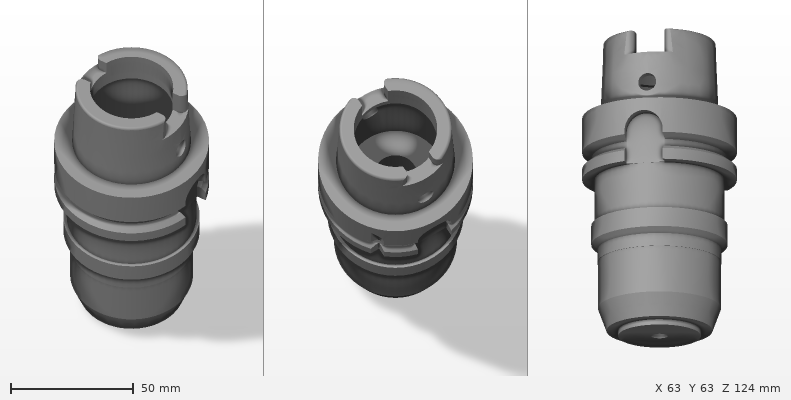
import cadquery as cq
import math

total_height = 124.0
flange_top = 92.0
flange_bottom = 66.0
collar_top = 46.6
collar_chamfer_top = 38.6
collar_bottom = 36.3
neck_bottom = 31.0
nose_cone_top = 11.7
nose_cone_bottom = 2.2

flange_radius = 31.5
body_radius = 26.4
collar_radius = 27.8
neck_radius = 25.3
nose_radius = 25.0
nose_tip_radius = 21.6
spigot_radius = 16.9

shank_base_radius = 24.2
shank_top_radius = 22.8
shank_edge_round = 1.1

groove_rim_top = 77.4
groove_floor_top = 75.5
groove_ledge = 72.2
groove_rim_bottom = 70.5
groove_floor_radius = 27.5
groove_ledge_radius = 29.4

mouth_radius = 17.0
mouth_depth = 13.0
cavity_radius = 19.8
cavity_floor = 76.9
socket_radius = 8.9
socket_depth = 12.4
coolant_radius = 3.3

drive_half_width = 6.2
drive_flat = 21.0
drive_corner_radius = 2.5
drive_depth_left = 6.0
drive_depth_right = 10.2

cross_hole_radius = 3.7
cross_hole_height = 100.9

keyway_half_width = 7.9
keyway_top = 86.8
keyway_floor = body_radius
notch_offset = 20.2
notch_arch_radius = 7.5
notch_arch_center = 80.2


def disc(radius, bottom, top):
    return cq.Workplane("XY").workplane(offset=bottom).circle(radius).extrude(top - bottom)


def turned_body():
    """Outside shape of the holder, revolved about Z."""
    outline = [
        (0, 0),
        (spigot_radius, 0),
        (spigot_radius, nose_cone_bottom),
        (nose_tip_radius, nose_cone_bottom),
        (nose_radius, nose_cone_top),
        (nose_radius, neck_bottom),
        (neck_radius, neck_bottom),
        (neck_radius, collar_bottom),
        (collar_radius, collar_chamfer_top),
        (collar_radius, collar_top),
        (body_radius, collar_top),
        (body_radius, flange_bottom),
        (flange_radius, flange_bottom),
        (flange_radius, groove_rim_bottom),
        (groove_ledge_radius, groove_ledge),
        (groove_floor_radius, groove_ledge),
        (groove_floor_radius, groove_floor_top),
        (flange_radius, groove_rim_top),
        (flange_radius, flange_top),
        (shank_base_radius, flange_top),
        (shank_top_radius, total_height),
        (0, total_height),
    ]
    body = cq.Workplane("XZ").polyline(outline).close().revolve(360, (0, 0, 0), (0, 1, 0))
    return body.faces(">Z").edges().fillet(shank_edge_round)


def bores():
    """Stepped bore: mouth, wider cavity, socket and coolant hole."""
    mouth_bottom = total_height - mouth_depth
    return (
        disc(mouth_radius, mouth_bottom, total_height)
        .union(disc(cavity_radius, cavity_floor, mouth_bottom))
        .union(disc(socket_radius, cavity_floor - socket_depth, cavity_floor))
        .union(disc(coolant_radius, 0, cavity_floor))
    )


def drive_slot(side, depth):
    """Slot in the +X (side = 1) or -X (side = -1) wall, with rounded outer corners."""
    wall_end = drive_flat - drive_corner_radius
    corner_y = drive_half_width + drive_corner_radius
    arc_offset = drive_corner_radius * math.sqrt(0.5)
    arc_middle = (wall_end + arc_offset, corner_y - arc_offset)
    return (
        cq.Workplane("XY")
        .workplane(offset=total_height - depth)
        .moveTo(0, -drive_half_width)
        .lineTo(side * wall_end, -drive_half_width)
        .threePointArc((side * arc_middle[0], -arc_middle[1]), (side * drive_flat, -corner_y))
        .lineTo(side * drive_flat, -flange_radius)
        .lineTo(side * flange_radius, -flange_radius)
        .lineTo(side * flange_radius, flange_radius)
        .lineTo(side * drive_flat, flange_radius)
        .lineTo(side * drive_flat, corner_y)
        .threePointArc((side * arc_middle[0], arc_middle[1]), (side * wall_end, drive_half_width))
        .lineTo(0, drive_half_width)
        .close()
        .extrude(depth)
    )


def arched_slot(side, floor, center_y, half_width, arch_center):
    """Round-topped slot cut along X from its floor outwards, open at the flange bottom."""
    return (
        cq.Workplane("YZ")
        .workplane(offset=side * floor)
        .moveTo(center_y - half_width, flange_bottom)
        .lineTo(center_y - half_width, arch_center)
        .threePointArc((center_y, arch_center + half_width), (center_y + half_width, arch_center))
        .lineTo(center_y + half_width, flange_bottom)
        .close()
        .extrude(side * flange_radius)
    )


cross_hole = (
    cq.Workplane("YZ")
    .center(0, cross_hole_height)
    .circle(cross_hole_radius)
    .extrude(flange_radius, both=True)
)

result = turned_body().cut(bores()).cut(cross_hole)
result = result.cut(drive_slot(-1, drive_depth_left)).cut(drive_slot(1, drive_depth_right))

for side in (-1, 1):
    keyway = arched_slot(side, keyway_floor, 0, keyway_half_width, keyway_top - keyway_half_width)
    result = result.cut(keyway)

notch_center_y = notch_offset + notch_arch_radius
result = result.cut(arched_slot(-1, notch_offset, notch_center_y, notch_arch_radius, notch_arch_center))